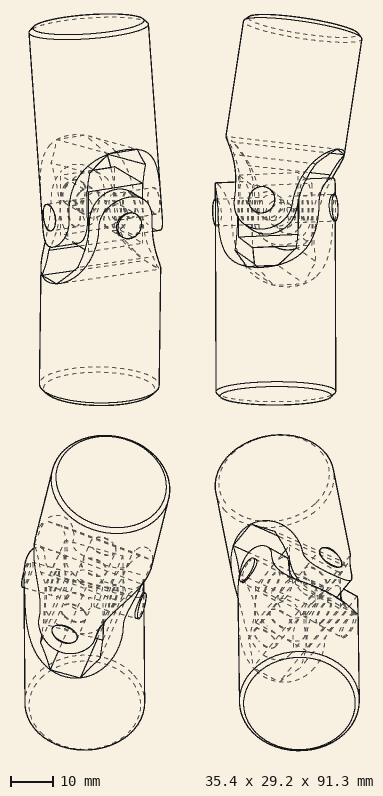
import cadquery as cq
import math

yoke_diameter = 28.55
yoke_length = 44.8
end_chamfer = 1.0
head_radius = 7.1
flare_height = 16.15
upper_tilt = 8.8
lower_tilt = 0.8

slot_width = 15.0
slot_floor_width = 7.6
slot_depth = 15.7
slot_corner_height = 11.0

block_width = 14.5
block_height = 15.0

pin_diameter = 6.4
upper_pin_reach = 14.05
lower_pin_reach = 14.6
pin_inner_end = 3.65

tip_overrun = 1.8

yoke_radius = yoke_diameter / 2
tip_end = -head_radius - tip_overrun
flare_run = yoke_radius - head_radius
flare_radius = (flare_run**2 + flare_height**2) / (2 * flare_run)


def make_arm_blank():
    """Side profile in XZ: round head, concave flares, then the full-width shank."""
    mid_angle = math.asin(flare_height / flare_radius) / 2
    mid_x = head_radius + flare_radius * (1 - math.cos(mid_angle))
    mid_z = flare_radius * math.sin(mid_angle)
    return (
        cq.Workplane("XZ")
        .moveTo(-head_radius, 0)
        .threePointArc((0, -head_radius), (head_radius, 0))
        .threePointArc((mid_x, mid_z), (yoke_radius, flare_height))
        .lineTo(yoke_radius, yoke_length)
        .lineTo(-yoke_radius, yoke_length)
        .lineTo(-yoke_radius, flare_height)
        .threePointArc((-mid_x, mid_z), (-head_radius, 0))
        .close()
        .extrude(yoke_radius, both=True)
    )


def make_slot():
    """Slot along X with sloped floor corners."""
    half_width = slot_width / 2
    half_floor = slot_floor_width / 2
    return (
        cq.Workplane("YZ")
        .moveTo(-half_width, tip_end)
        .lineTo(half_width, tip_end)
        .lineTo(half_width, slot_corner_height)
        .lineTo(half_floor, slot_depth)
        .lineTo(-half_floor, slot_depth)
        .lineTo(-half_width, slot_corner_height)
        .close()
        .extrude(yoke_radius, both=True)
    )


def make_yoke():
    """Yoke pointing up, hinged about Y."""
    bar = (
        cq.Workplane("XY", origin=(0, 0, tip_end))
        .circle(yoke_radius)
        .extrude(yoke_length - tip_end)
        .faces(">Z")
        .chamfer(end_chamfer)
    )
    pin_hole = cq.Workplane("XZ").circle(pin_diameter / 2).extrude(yoke_radius, both=True)
    return bar.intersect(make_arm_blank()).cut(make_slot()).cut(pin_hole)


def make_pin(reach):
    """Stub pin along +X."""
    return (
        cq.Workplane("YZ", origin=(pin_inner_end, 0, 0))
        .circle(pin_diameter / 2)
        .extrude(reach - pin_inner_end)
    )


origin = (0, 0, 0)
x_axis = (1, 0, 0)
y_axis = (0, 1, 0)
z_axis = (0, 0, 1)

upper_yoke = make_yoke().rotate(origin, y_axis, -upper_tilt)
lower_yoke = (
    make_yoke()
    .rotate(origin, z_axis, 90)
    .rotate(origin, x_axis, 180 - lower_tilt)
)

pins = []
for quarter_turn in range(4):
    pin_reach = lower_pin_reach if quarter_turn % 2 == 0 else upper_pin_reach
    pin = make_pin(pin_reach).rotate(origin, z_axis, 90 * quarter_turn)
    pins.append(pin.val())

centre_block = cq.Workplane("XY").box(block_width, block_width, block_height)
for pin in pins:
    centre_block = centre_block.cut(cq.Workplane(obj=pin))

result = cq.Compound.makeCompound([
    upper_yoke.val(),
    lower_yoke.val(),
    centre_block.val(),
    *pins,
])